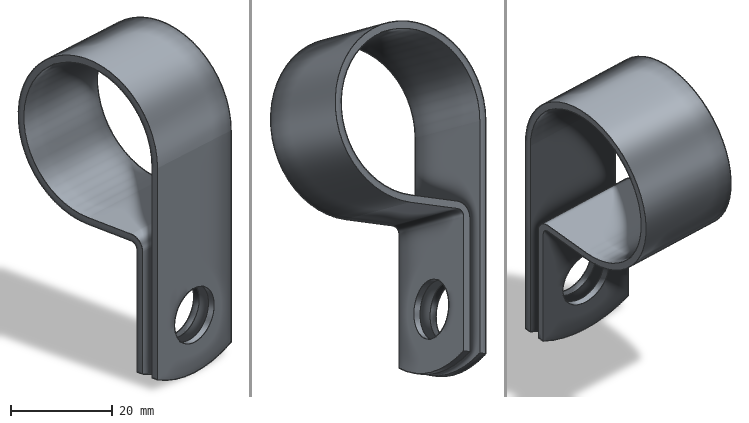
import cadquery as cq

loop_radius = 18.2
thickness = 1.5
width = 22.25
total_height = 67.4
leg_gap = 2.4
bend_inner_radius = 1.5
hole_diameter = 11.9
hole_above_tip = 12.7
tip_sagitta = 2.55

bore_radius = loop_radius - thickness
bend_outer_radius = bend_inner_radius + thickness
tip_z = loop_radius - total_height
short_leg_outer = bore_radius - leg_gap
short_leg_inner = short_leg_outer - thickness
bend_start_x = short_leg_outer - bend_outer_radius
bend_end_z = -bore_radius - bend_outer_radius
half_width = width / 2


def make_strip():
    """Bent strip: long leg, three-quarter loop, shelf, bend and short leg."""
    return (
        cq.Workplane("XZ", origin=(0, half_width, 0))
        .moveTo(loop_radius, tip_z)
        .lineTo(loop_radius, 0)
        .threePointArc((0, loop_radius), (0, -loop_radius))
        .lineTo(bend_start_x, -loop_radius)
        .radiusArc((short_leg_inner, bend_end_z), bend_inner_radius)
        .lineTo(short_leg_inner, tip_z)
        .lineTo(short_leg_outer, tip_z)
        .lineTo(short_leg_outer, bend_end_z)
        .radiusArc((bend_start_x, -bore_radius), -bend_outer_radius)
        .lineTo(0, -bore_radius)
        .threePointArc((0, bore_radius), (bore_radius, 0))
        .lineTo(bore_radius, tip_z)
        .close()
        .extrude(width)
    )


def make_rounded_outline():
    """Block whose arched lower face rounds the tips of both legs."""
    block_reach = 2 * loop_radius
    corner_z = tip_z + tip_sagitta
    return (
        cq.Workplane("YZ")
        .moveTo(-half_width, block_reach)
        .lineTo(-half_width, corner_z)
        .threePointArc((0, tip_z), (half_width, corner_z))
        .lineTo(half_width, block_reach)
        .close()
        .extrude(block_reach, both=True)
    )


def make_bolt_hole():
    """Cylinder that pierces both legs along X."""
    return (
        cq.Workplane("YZ")
        .center(0, tip_z + hole_above_tip)
        .circle(hole_diameter / 2)
        .extrude(loop_radius)
    )


result = make_strip().intersect(make_rounded_outline()).cut(make_bolt_hole())